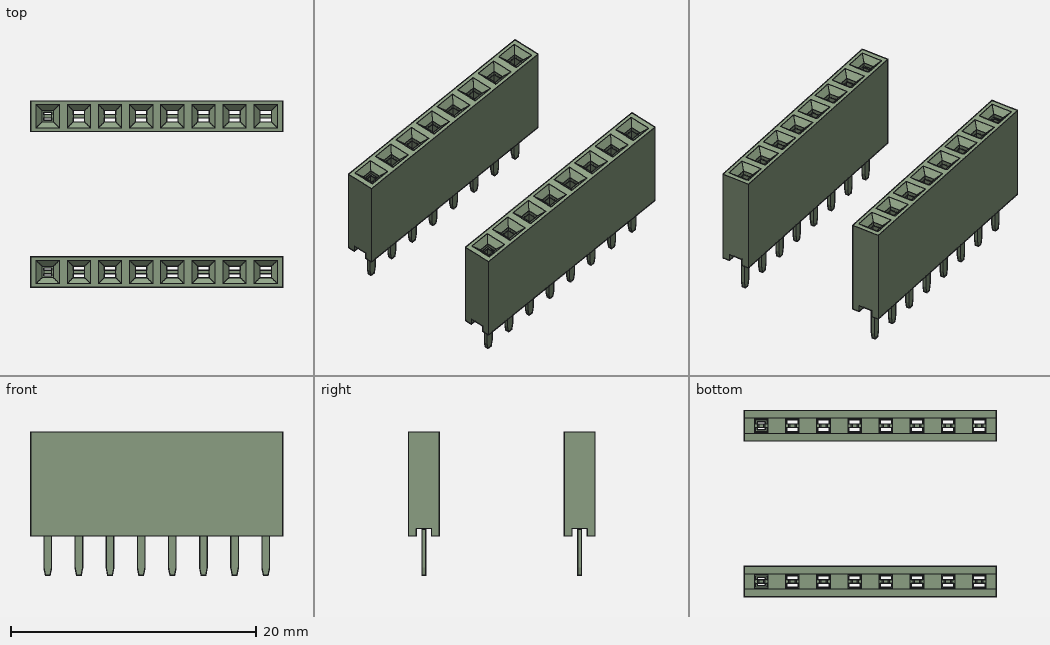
import cadquery as cq

POSITIONS = 8
ROW_SPACING_IN_PITCHES = 5

LENGTH = 20.57
END_MARGIN = 1.4
WIDTH = 2.5
HEIGHT = 8.5

CHANNEL_WIDTH = 1.23
CHANNEL_DEPTH = 0.6

MOUTH_SIZE = 1.9
THROAT_SIZE = 0.9
LEAD_IN_DEPTH = 0.5
THROAT_DEPTH = 0.37
COLLAR_SIZE = 0.64
COLLAR_HEIGHT = 0.06
CHAMBER_SIZE = 1.11

PIN_WIDTH = 0.64
PIN_THICKNESS = 0.3
PIN_LENGTH = 3.2
TIP_WIDTH = 0.4
TIP_LENGTH = 0.62
HEAD_HEIGHT = 0.5
HEAD_DROP = 0.06

PITCH = (LENGTH - 2 * END_MARGIN) / (POSITIONS - 1)
ROW_SPACING = ROW_SPACING_IN_PITCHES * PITCH

LEAD_IN_FLOOR_Z = HEIGHT - LEAD_IN_DEPTH
CHAMBER_TOP_Z = LEAD_IN_FLOOR_Z - THROAT_DEPTH
CHANNEL_TOP_Z = CHANNEL_DEPTH
HEAD_BOTTOM_Z = CHANNEL_TOP_Z - HEAD_DROP
HEAD_TOP_Z = HEAD_BOTTOM_Z + HEAD_HEIGHT
PIN_TIP_Z = -PIN_LENGTH


def make_box(x_size, y_size, bottom_z, top_z, x=0):
    """Box centred on (x, 0) between two levels."""
    return cq.Workplane("XY", origin=(x, 0, bottom_z)).rect(x_size, y_size).extrude(top_z - bottom_z)


def make_housing():
    """Plain block with a channel running the full length of its underside."""
    block = make_box(LENGTH, WIDTH, 0, HEIGHT)
    channel = make_box(LENGTH, CHANNEL_WIDTH, 0, CHANNEL_TOP_Z)
    return block.cut(channel)


def make_socket(x, has_collar):
    """Void of one socket: tapered mouth, throat, optional collar bore and chamber."""
    lead_in = (
        cq.Workplane("XY", origin=(x, 0, LEAD_IN_FLOOR_Z))
        .rect(THROAT_SIZE, THROAT_SIZE)
        .workplane(offset=LEAD_IN_DEPTH)
        .rect(MOUTH_SIZE, MOUTH_SIZE)
        .loft(ruled=True)
    )
    throat_floor_z = CHAMBER_TOP_Z + COLLAR_HEIGHT if has_collar else CHAMBER_TOP_Z
    throat = make_box(THROAT_SIZE, THROAT_SIZE, throat_floor_z, LEAD_IN_FLOOR_Z, x)
    chamber = make_box(CHAMBER_SIZE, CHAMBER_SIZE, CHANNEL_TOP_Z, CHAMBER_TOP_Z, x)
    void = lead_in.union(throat).union(chamber)
    if has_collar:
        void = void.union(make_box(COLLAR_SIZE, COLLAR_SIZE, CHAMBER_TOP_Z, throat_floor_z, x))
    return void


def make_pin(x):
    """Flat pin with a tapered tip and a wide head that reaches both chamber walls."""
    right_side = [
        (TIP_WIDTH / 2, PIN_TIP_Z),
        (PIN_WIDTH / 2, PIN_TIP_Z + TIP_LENGTH),
        (PIN_WIDTH / 2, HEAD_BOTTOM_Z),
        (CHAMBER_SIZE / 2, HEAD_BOTTOM_Z),
        (CHAMBER_SIZE / 2, HEAD_TOP_Z),
    ]
    left_side = [(-half_width, z) for half_width, z in reversed(right_side)]
    return (
        cq.Workplane("XZ", origin=(x, PIN_THICKNESS / 2, 0))
        .polyline(right_side + left_side)
        .close()
        .extrude(PIN_THICKNESS)
    )


def make_strip():
    """One socket strip: a housing joined to its row of pins."""
    strip = make_housing()
    for index in range(POSITIONS):
        x = END_MARGIN + index * PITCH - LENGTH / 2
        strip = strip.cut(make_socket(x, has_collar=index == 0)).union(make_pin(x))
    return strip


strip = make_strip()
strips = [strip.translate((0, side * ROW_SPACING / 2, 0)).val() for side in (-1, 1)]
result = cq.Compound.makeCompound(strips)